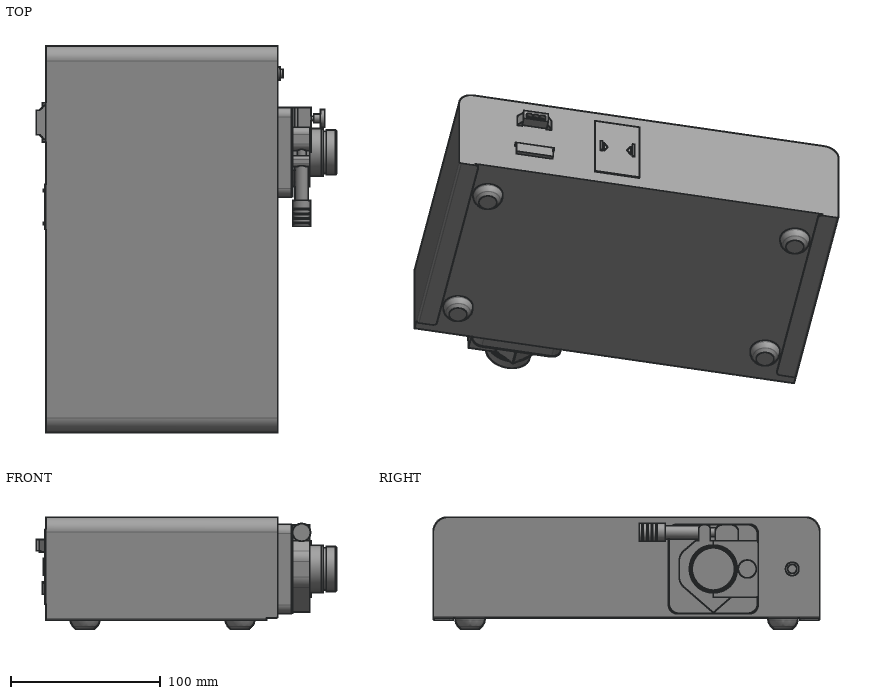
import cadquery as cq
import math

TOTAL_LENGTH = 200.81
TOTAL_HEIGHT = 75.1
CASE_LENGTH = 155.0
CASE_WIDTH = 258.4
CASE_TOP_RADIUS = 10.0
CASE_FRONT_RADIUS = 1.3
LIP_THICKNESS = 1.5
LIP_WIDTH = 13.5
LIP_LENGTH = 147.5
LIP_CORNER_RADIUS = 2.6
LIP_EDGE_RADIUS = 1.4

FOOT_HEIGHT = 7.6
FOOT_RADIUS = 10.0
FOOT_TIP_RADIUS = 6.0
FOOT_CONE_HEIGHT = 4.0
FOOT_BLEND_RADIUS = 6.0
FOOT_X = (26.0, 129.5)
FOOT_Y = 104.5

PUMP_Y = 58.0
PUMP_Z = 40.4
FLANGE_SIDE = 60.0
FLANGE_CORNER = 6.2
FLANGE_THICKNESS = 9.0
GASKET_SIDE = 59.0
GASKET_THICKNESS = 1.0

HEAD_THICKNESS = 11.3
HEAD_HALF_WIDTH = 22.8
HEAD_CORNER_HEIGHT = 9.4
HEAD_SLOPE = 49.0
HEAD_CORNER_RADIUS = 9.1
HEAD_BOTTOM_DROP = 28.9
HEAD_SHOULDER_RISE = 18.9

COVER_THICKNESS = 12.2
COVER_HEIGHT = 2 * HEAD_SHOULDER_RISE
COVER_SLOT_OFFSET = 1.3
COVER_SLOT_WIDTH = 2.0
COVER_SLOT_DEPTH = 1.0

LUG_TOP_Z = 69.8
WIDE_LUG = (67.0, 15.6, 4.7)
NARROW_LUG = (52.1, 7.6, 2.4)

HOSE_Z = 64.8
HOSE_OFFSET = 5.8
HOSE_CONNECTOR_DIAMETER = 6.0
HOSE_STEM_DIAMETER = 9.0
HOSE_GRIP_DIAMETER = 12.0
HOSE_GRIP_START_Y = 26.0
HOSE_END_Y = 8.6
GRIP_GROOVE_COUNT = 4
GRIP_GROOVE_PITCH = 3.1
GRIP_GROOVE_WIDTH = 1.0
GRIP_GROOVE_DIAMETER = 10.0
FIRST_GROOVE_FROM_END = 2.2

BARREL_DIAMETER = 32.0
BARREL_LENGTH = 7.5
BARREL_RIM_DIAMETER = 31.6
BARREL_RIM_LENGTH = 1.6
NECK_DIAMETER = 28.5
NECK_LENGTH = 1.8
CAP_DIAMETER = 30.2
CAP_CHAMFER = 1.0

KNOB_Y = 80.7
KNOB_STEPS = ((3.0, 1.6), (6.0, 4.5), (12.0, 3.1))

LAMP_Y = 110.7
LAMP_STEPS = ((9.0, 1.5), (6.0, 1.9))

CONNECTOR_Y = 78.0
TERMINAL_DEPTH = 6.5
TERMINAL_BASE_WIDTH = 23.4
TERMINAL_WIDTH = 16.6
TERMINAL_EDGE = 0.6
TERMINAL_BASE_DEPTH = 4.4
TERMINAL_TOP_Z = 60.1
TERMINAL_BASE_HEIGHT = 8.5
TERMINAL_HEIGHT = 7.6
TERMINAL_HOLE_DIAMETER = 4.3
TERMINAL_HOLE_PITCH = 4.5
TERMINAL_HOLE_DEPTH = 3.0
TERMINAL_HOLE_Z = 55.9

SOCKET_DEPTH = 2.4
SOCKET_TOP_Z = 31.9
SOCKET_HEIGHT = 8.5
SOCKET_WIDTH = 24.7
SOCKET_RIM_WIDTH = 26.4
SOCKET_RIM_HEIGHT = 1.0

DOOR_Y = 21.6
DOOR_Z = 42.0
DOOR_WIDTH = 30.2
DOOR_HEIGHT = 50.2
DOOR_THICKNESS = 0.9
DOOR_TOP_BEVEL = 0.8
GRIP_BAR_PROUD = 0.9
GRIP_BAR_WIDTH = 1.6
GRIP_BAR_OFFSET = 11.0
GRIP_BAR_HEIGHTS = {1: 8.6, -1: 11.4}
ARROW_OFFSET = 9.0
ARROW_LENGTH = 2.4
ARROW_HEIGHT = 7.6
ARROW_DEPTH = 0.3

HALF_WIDTH = CASE_WIDTH / 2
LIP_BOTTOM_Z = FOOT_HEIGHT - LIP_THICKNESS
GASKET_X = CASE_LENGTH + FLANGE_THICKNESS
HEAD_X = GASKET_X + GASKET_THICKNESS
BARREL_X = HEAD_X + HEAD_THICKNESS
COVER_X_END = HEAD_X + COVER_THICKNESS
BARREL_END_X = TOTAL_LENGTH - TERMINAL_DEPTH
HEAD_SHOULDER_Z = PUMP_Z + HEAD_SHOULDER_RISE
FLANGE_TOP_Y = PUMP_Y + FLANGE_SIDE / 2
HOSE_X = HEAD_X + HOSE_OFFSET


def box(x_range, y_range, z_range):
    """Axis-aligned block given by its limits."""
    x0, x1 = x_range
    y0, y1 = y_range
    z0, z1 = z_range
    return cq.Workplane("XY").box(x1 - x0, y1 - y0, z1 - z0, centered=False).translate((x0, y0, z0))


def rod_x(diameter, x0, x1, y, z):
    """Cylinder along X."""
    axis = cq.Vector(1, 0, 0)
    return cq.Workplane(cq.Solid.makeCylinder(diameter / 2, x1 - x0, cq.Vector(x0, y, z), axis))


def rod_y(diameter, y0, y1):
    """Cylinder along Y on the hose axis."""
    start = cq.Vector(HOSE_X, y0, HOSE_Z)
    return cq.Workplane(cq.Solid.makeCylinder(diameter / 2, y1 - y0, start, cq.Vector(0, 1, 0)))


def stepped_rod(steps, x_start, y):
    """Coaxial cylinders along X, one after another, at pump height."""
    rod = cq.Workplane()
    x = x_start
    for diameter, length in steps:
        rod = rod.add(rod_x(diameter, x, x + length, y, PUMP_Z))
        x += length
    return rod.combine()


def make_case():
    case = box((0, CASE_LENGTH), (-HALF_WIDTH, HALF_WIDTH), (FOOT_HEIGHT, TOTAL_HEIGHT))
    case = case.edges("|X and >Z").fillet(CASE_TOP_RADIUS)
    case = case.edges(">X and <Z").fillet(CASE_FRONT_RADIUS)
    lip = box((0, LIP_LENGTH), (-HALF_WIDTH, LIP_WIDTH - HALF_WIDTH), (LIP_BOTTOM_Z, FOOT_HEIGHT))
    lip = lip.edges("|Z and >Y").fillet(LIP_CORNER_RADIUS)
    lip = lip.edges("<Y and <Z").fillet(LIP_EDGE_RADIUS)
    return case.union(lip).union(lip.mirror("XZ"))


def make_foot(x, y):
    """Round foot: a cone below a cylinder, blended by a large radius."""
    foot = (
        cq.Workplane("XZ")
        .lineTo(FOOT_TIP_RADIUS, 0)
        .lineTo(FOOT_RADIUS, FOOT_CONE_HEIGHT)
        .lineTo(FOOT_RADIUS, FOOT_HEIGHT)
        .lineTo(0, FOOT_HEIGHT)
        .close()
        .revolve(360, (0, 0), (0, 1))
    )
    rim = cq.selectors.BoxSelector(
        (-2 * FOOT_RADIUS, -2 * FOOT_RADIUS, FOOT_CONE_HEIGHT / 2),
        (2 * FOOT_RADIUS, 2 * FOOT_RADIUS, (FOOT_CONE_HEIGHT + FOOT_HEIGHT) / 2),
        boundingbox=True,
    )
    return foot.edges("%CIRCLE").edges(rim).fillet(FOOT_BLEND_RADIUS).translate((x, y, 0))


def make_plate(side, x0, thickness):
    """Square plate with round corners, centred on the pump axis."""
    half = side / 2
    plate = box((x0, x0 + thickness), (PUMP_Y - half, PUMP_Y + half), (PUMP_Z - half, PUMP_Z + half))
    return plate.edges("|X").fillet(FLANGE_CORNER)


def make_head():
    """Pump head: vertical side flats, slanted faces above and below, flat shoulder and bottom."""
    slope = math.tan(math.radians(HEAD_SLOPE))
    top_half = HEAD_HALF_WIDTH - (HEAD_SHOULDER_RISE - HEAD_CORNER_HEIGHT) * slope
    low_half = HEAD_HALF_WIDTH - (HEAD_BOTTOM_DROP - HEAD_CORNER_HEIGHT) * slope
    right = [
        (low_half, -HEAD_BOTTOM_DROP),
        (HEAD_HALF_WIDTH, -HEAD_CORNER_HEIGHT),
        (HEAD_HALF_WIDTH, HEAD_CORNER_HEIGHT),
        (top_half, HEAD_SHOULDER_RISE),
    ]
    left = [(-y, z) for y, z in reversed(right)]
    head = cq.Workplane("YZ").polyline(right + left).close().extrude(HEAD_THICKNESS)
    head = head.edges("|X and (<Y or >Y)").fillet(HEAD_CORNER_RADIUS)
    return head.translate((HEAD_X, PUMP_Y, PUMP_Z))


def make_cover():
    """Block on the +Y half of the head, grooved across its top near the back."""
    z_range = (HEAD_SHOULDER_Z - COVER_HEIGHT, HEAD_SHOULDER_Z)
    cover = box((HEAD_X, COVER_X_END), (PUMP_Y, FLANGE_TOP_Y), z_range)
    slot_x = HEAD_X + COVER_SLOT_OFFSET
    slot = box(
        (slot_x, slot_x + COVER_SLOT_WIDTH),
        (PUMP_Y, FLANGE_TOP_Y),
        (HEAD_SHOULDER_Z - COVER_SLOT_DEPTH, HEAD_SHOULDER_Z),
    )
    return cover.cut(slot)


def make_lug(centre_y, width, radius):
    """Round-topped lug standing on the head."""
    y_range = (centre_y - width / 2, centre_y + width / 2)
    lug = box((HEAD_X, BARREL_X), y_range, (PUMP_Z, LUG_TOP_Z))
    return lug.edges("|X and >Z").fillet(radius)


def make_hose():
    """Hose connector through the lugs, ending in a ribbed grip."""
    wide_centre, narrow_centre = WIDE_LUG[0], NARROW_LUG[0]
    hose = rod_y(HOSE_CONNECTOR_DIAMETER, narrow_centre, wide_centre)
    hose = hose.union(rod_y(HOSE_STEM_DIAMETER, HOSE_GRIP_START_Y, narrow_centre))
    hose = hose.union(rod_y(HOSE_GRIP_DIAMETER, HOSE_END_Y, HOSE_GRIP_START_Y))
    for i in range(GRIP_GROOVE_COUNT):
        y0 = HOSE_END_Y + FIRST_GROOVE_FROM_END + i * GRIP_GROOVE_PITCH - GRIP_GROOVE_WIDTH / 2
        y1 = y0 + GRIP_GROOVE_WIDTH
        ring = rod_y(HOSE_GRIP_DIAMETER, y0, y1).cut(rod_y(GRIP_GROOVE_DIAMETER, y0, y1))
        hose = hose.cut(ring)
    return hose


def make_barrel():
    rim_x = BARREL_X + BARREL_LENGTH
    neck_x = rim_x + BARREL_RIM_LENGTH
    cap_x = neck_x + NECK_LENGTH
    barrel = rod_x(BARREL_DIAMETER, BARREL_X, rim_x, PUMP_Y, PUMP_Z)
    barrel = barrel.union(rod_x(BARREL_RIM_DIAMETER, rim_x, neck_x, PUMP_Y, PUMP_Z))
    barrel = barrel.union(rod_x(NECK_DIAMETER, neck_x, cap_x, PUMP_Y, PUMP_Z))
    cap = rod_x(CAP_DIAMETER, cap_x, BARREL_END_X, PUMP_Y, PUMP_Z)
    return barrel.union(cap.faces(">X").chamfer(CAP_CHAMFER))


def make_terminal():
    """Terminal block with slanted ends and three blind wire holes."""
    base_half = TERMINAL_BASE_WIDTH / 2
    half = TERMINAL_WIDTH / 2
    outline = [
        (0, -base_half),
        (-TERMINAL_EDGE, -base_half),
        (-TERMINAL_BASE_DEPTH, -half),
        (-TERMINAL_BASE_DEPTH, half),
        (-TERMINAL_EDGE, base_half),
        (0, base_half),
    ]
    base = cq.Workplane("XY").polyline(outline).close().extrude(-TERMINAL_BASE_HEIGHT)
    base = base.translate((0, CONNECTOR_Y, TERMINAL_TOP_Z))
    y_range = (CONNECTOR_Y - half, CONNECTOR_Y + half)
    body_z = TERMINAL_TOP_Z - TERMINAL_HEIGHT
    base_z = TERMINAL_TOP_Z - TERMINAL_BASE_HEIGHT
    terminal = base.union(box((-TERMINAL_DEPTH, 0), y_range, (body_z, TERMINAL_TOP_Z)))
    terminal = terminal.cut(box((-TERMINAL_BASE_DEPTH, 0), y_range, (base_z, body_z)))
    for i in (-1, 0, 1):
        y = CONNECTOR_Y + i * TERMINAL_HOLE_PITCH
        hole_end = TERMINAL_HOLE_DEPTH - TERMINAL_DEPTH
        terminal = terminal.cut(rod_x(TERMINAL_HOLE_DIAMETER, -TERMINAL_DEPTH, hole_end, y, TERMINAL_HOLE_Z))
    return terminal


def make_socket():
    socket = cq.Workplane()
    for width, height in ((SOCKET_WIDTH, SOCKET_HEIGHT), (SOCKET_RIM_WIDTH, SOCKET_RIM_HEIGHT)):
        y_range = (CONNECTOR_Y - width / 2, CONNECTOR_Y + width / 2)
        socket = socket.add(box((-SOCKET_DEPTH, 0), y_range, (SOCKET_TOP_Z - height, SOCKET_TOP_Z)))
    return socket.combine()


def make_door():
    """Door plate with two raised grip bars and two engraved arrows."""
    y_range = (DOOR_Y - DOOR_WIDTH / 2, DOOR_Y + DOOR_WIDTH / 2)
    z_range = (DOOR_Z - DOOR_HEIGHT / 2, DOOR_Z + DOOR_HEIGHT / 2)
    door = box((-DOOR_THICKNESS, 0), y_range, z_range)
    door = door.edges("<X and >Z").chamfer(DOOR_TOP_BEVEL)
    for side, bar_height in GRIP_BAR_HEIGHTS.items():
        bar_y = DOOR_Y + side * GRIP_BAR_OFFSET
        bar = box(
            (-DOOR_THICKNESS - GRIP_BAR_PROUD, 0),
            (bar_y - GRIP_BAR_WIDTH / 2, bar_y + GRIP_BAR_WIDTH / 2),
            (DOOR_Z - bar_height / 2, DOOR_Z + bar_height / 2),
        )
        base_y = DOOR_Y + side * ARROW_OFFSET
        arrow = [
            (base_y, DOOR_Z - ARROW_HEIGHT / 2),
            (base_y - side * ARROW_LENGTH, DOOR_Z),
            (base_y, DOOR_Z + ARROW_HEIGHT / 2),
        ]
        engraving = cq.Workplane("YZ").polyline(arrow).close().extrude(ARROW_DEPTH)
        door = door.union(bar).cut(engraving.translate((-DOOR_THICKNESS, 0, 0)))
    return door


parts = [
    make_plate(FLANGE_SIDE, CASE_LENGTH, FLANGE_THICKNESS),
    make_plate(GASKET_SIDE, GASKET_X, GASKET_THICKNESS),
    make_head(),
    make_cover(),
    make_lug(*WIDE_LUG),
    make_lug(*NARROW_LUG),
    make_hose(),
    make_barrel(),
    stepped_rod(KNOB_STEPS, COVER_X_END, KNOB_Y),
    stepped_rod(LAMP_STEPS, CASE_LENGTH, LAMP_Y),
    make_terminal(),
    make_socket(),
    make_door(),
]
for foot_x in FOOT_X:
    for foot_y in (-FOOT_Y, FOOT_Y):
        parts.append(make_foot(foot_x, foot_y))

result = make_case()
for part in parts:
    result = result.union(part)